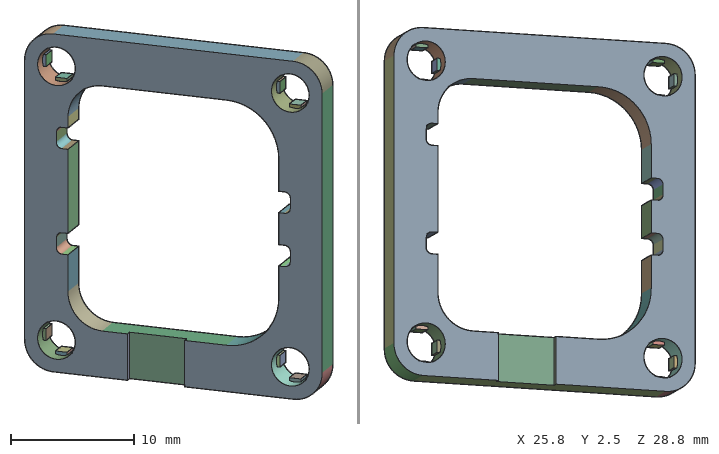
import cadquery as cq

width = 25.8
height = 28.8
thickness = 2.5
corner_radius = 2.5
front_y = -thickness / 2
back_y = thickness / 2

window_width = 18.25
window_height = 20.88
left_window_radius = 3.0
right_window_radius = 4.5

notch_depth = 1.0
notch_height = 1.8
notch_radius = 0.5
left_notch_levels = (5.62, -3.37)
right_notch_levels = (2.28, -2.28)

hole_spacing_x = 20.28
hole_spacing_z = 23.33
hole_diameter = 3.25
tab_width = 1.0
tab_gap = 2.62
tab_setback = 1.12

recess_center_x = -1.5
recess_width = 4.95
recess_depth = 0.5


def block(x_size, z_size, x_center=0, z_center=0, y_start=front_y, y_end=back_y):
    """Box given by its XZ size and centre, running from y_start to y_end."""
    return cq.Workplane("XY").box(x_size, y_end - y_start, z_size).translate(
        (x_center, (y_start + y_end) / 2, z_center)
    )


def make_window():
    """Opening through the plate, with its two left corners tighter than its right ones."""
    opening = block(window_width, window_height)
    opening = opening.edges("|Y and <X").fillet(left_window_radius)
    return opening.edges("|Y and >X").fillet(right_window_radius)


def make_notch(side, z_center):
    """Notch in the window wall on the given side (-1 left, +1 right), rounded at its floor."""
    notch = block(2 * notch_depth, notch_height, side * window_width / 2, z_center)
    floor_edges = "|Y and >X" if side > 0 else "|Y and <X"
    return notch.edges(floor_edges).fillet(notch_radius)


def make_hole():
    """Through hole at the origin, less the tabs that stand in from its wall."""
    bore = cq.Workplane("XZ").circle(hole_diameter / 2).extrude(thickness / 2, both=True)
    tab_start = front_y + tab_setback
    tab_height = (hole_diameter - tab_gap) / 2
    tab_center = (tab_gap + tab_height) / 2
    tab = block(tab_width, tab_height, 0, tab_center, tab_start, back_y)
    for quarter in range(4):
        bore = bore.cut(tab.rotate((0, 0, 0), (0, 1, 0), 90 * quarter))
    return bore


def make_recess():
    """Recess in the front face, as tall as the bar below the window."""
    bar_height = (height - window_height) / 2
    bar_center_z = -(height - bar_height) / 2
    return block(
        recess_width, bar_height, recess_center_x, bar_center_z, front_y, front_y + recess_depth
    )


result = block(width, height).edges("|Y").fillet(corner_radius)
result = result.cut(make_window())

for notch_z in left_notch_levels:
    result = result.cut(make_notch(-1, notch_z))
for notch_z in right_notch_levels:
    result = result.cut(make_notch(1, notch_z))

for side_x in (-1, 1):
    for side_z in (-1, 1):
        hole_place = (side_x * hole_spacing_x / 2, 0, side_z * hole_spacing_z / 2)
        result = result.cut(make_hole().translate(hole_place))

result = result.cut(make_recess())